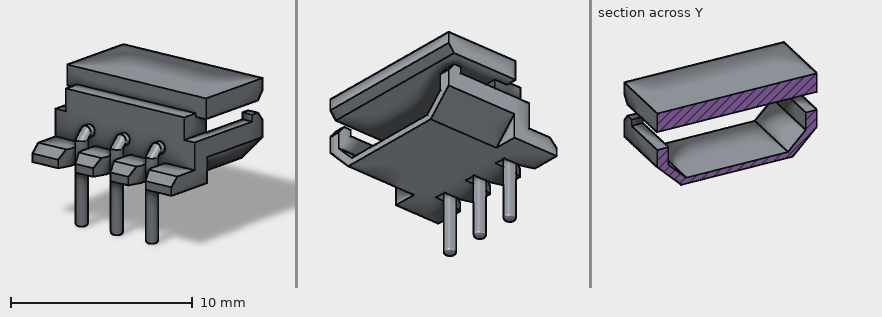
import cadquery as cq
import math


width = 9.9
half_width = width / 2
wall_back_y = -5.9
base_back_y = -7.9
wall_front_y = -4.0

tray_height = 2.6
side_wall = 0.7
floor_thickness = 0.4
bevel = 1.5
bevel_end_y = -4.8

lip_height = 0.4
lip_length = 0.9
lip_lead_length = 0.4
lip_lead_height = 0.5

plate_bottom = 3.7
plate_top = 4.9
plate_back_y = -4.9
plate_lead_length = 0.4
plate_lead_height = 0.5
web_half_width = 4.22
web_top = 3.9

base_height = 1.0
base_chamfer = 0.5
notch_clearance = 0.01
notch_flare_y = -7.1
notch_mouth_half_width = 0.61

pin_count = 3
pin_pitch = 2.5
pin_radius = 0.35
pin_bend_y = -6.245
pin_bend_z = 1.47
pin_bend_inset = 0.01
pin_tip_z = -3.5
pin_tip_fillet = 0.2
pin_embed = 1.0


def box(x_min, x_max, y_min, y_max, z_min, z_max):
    """Axis-aligned box between the given limits."""
    size = (x_max - x_min, y_max - y_min, z_max - z_min)
    return cq.Workplane("XY").box(*size, centered=False).translate((x_min, y_min, z_min))


def side_profile(points, profile_width):
    """Extrude a (Y, Z) outline symmetrically about the X = 0 plane."""
    return cq.Workplane("YZ").polyline(points).close().extrude(profile_width / 2, both=True)


def make_lower_body():
    """Tray with latch lips, thick back wall and projecting base."""
    lip_top = tray_height + lip_height
    return side_profile(
        [
            (0, 0),
            (0, lip_top - lip_lead_height),
            (-lip_lead_length, lip_top),
            (-lip_length, lip_top),
            (-lip_length, tray_height),
            (wall_back_y, tray_height),
            (wall_back_y, base_height),
            (base_back_y + base_chamfer, base_height),
            (base_back_y, base_height - base_chamfer),
            (base_back_y, 0),
        ],
        width,
    )


def make_tray_cavity():
    """Tray opening, with inner bevels running parallel to the outer ones."""
    inner = half_width - side_wall
    floor_half = inner - (bevel - floor_thickness)
    return (
        cq.Workplane("XZ")
        .polyline(
            [
                (-floor_half, floor_thickness),
                (floor_half, floor_thickness),
                (inner, bevel),
                (inner, plate_bottom),
                (-inner, plate_bottom),
                (-inner, bevel),
            ]
        )
        .close()
        .extrude(-wall_front_y)
    )


def make_edge_bevel(side):
    """Triangular prism removed from one lower side edge (side is -1 or 1)."""
    outer = side * half_width
    return (
        cq.Workplane("XZ")
        .polyline([(outer, 0), (outer, bevel), (outer - side * bevel, 0)])
        .close()
        .extrude(-bevel_end_y)
    )


def make_top_plate():
    """Top plate with a lead-in along its lower front edge."""
    return side_profile(
        [
            (0, plate_top),
            (0, plate_bottom + plate_lead_height),
            (-plate_lead_length, plate_bottom),
            (plate_back_y, plate_bottom),
            (plate_back_y, plate_top),
        ],
        width,
    )


def make_web():
    """Raised part of the back wall joining the tray to the top plate."""
    return box(-web_half_width, web_half_width, wall_back_y, wall_front_y, base_height, web_top)


def make_notch(x):
    """Flared notch in the base around one pin."""
    straight_half = pin_radius + notch_clearance
    return (
        cq.Workplane("XY")
        .polyline(
            [
                (x - straight_half, wall_back_y),
                (x + straight_half, wall_back_y),
                (x + straight_half, notch_flare_y),
                (x + notch_mouth_half_width, base_back_y),
                (x - notch_mouth_half_width, base_back_y),
                (x - straight_half, notch_flare_y),
            ]
        )
        .close()
        .extrude(base_height)
    )


def make_pin(x):
    """Bent pin: horizontal leg, oblique bend and vertical leg with a rounded tip."""
    axis_y = pin_bend_y - pin_radius - pin_bend_inset
    axis_z = pin_bend_z + pin_radius + pin_bend_inset
    diameter = 2 * pin_radius
    bar_length = 4 * diameter

    vertical = (
        cq.Workplane("XY", origin=(x, axis_y, pin_tip_z))
        .circle(pin_radius)
        .extrude(pin_bend_z - pin_tip_z)
        .faces("<Z")
        .edges()
        .fillet(pin_tip_fillet)
    )
    horizontal = (
        cq.Workplane("XZ", origin=(x, wall_back_y + pin_embed, axis_z))
        .circle(pin_radius)
        .extrude(wall_back_y + pin_embed - pin_bend_y)
    )

    bend_plane = cq.Plane(
        origin=(x, pin_bend_y + diameter, axis_z + diameter),
        xDir=(1, 0, 0),
        normal=(0, -1, -1),
    )
    bar = cq.Workplane(bend_plane).ellipse(pin_radius, pin_radius / math.sqrt(2)).extrude(bar_length)
    corner = box(
        x - diameter,
        x + diameter,
        pin_bend_y - diameter,
        pin_bend_y,
        pin_bend_z,
        pin_bend_z + diameter,
    )
    return vertical.union(bar.intersect(corner)).union(horizontal)


pin_positions = [(i - (pin_count - 1) / 2) * pin_pitch for i in range(pin_count)]

housing = make_lower_body().cut(make_tray_cavity())
for side in (-1, 1):
    housing = housing.cut(make_edge_bevel(side))
housing = housing.union(make_web()).union(make_top_plate())
for pin_x in pin_positions:
    housing = housing.cut(make_notch(pin_x))

result = housing
for pin_x in pin_positions:
    result = result.union(make_pin(pin_x))